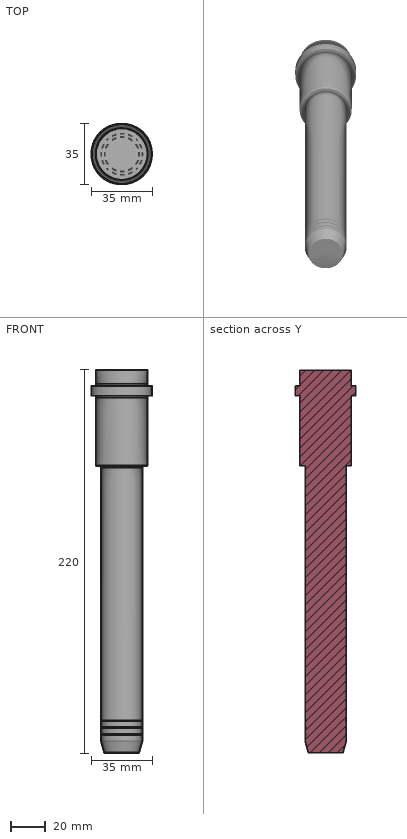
import cadquery as cq
import math

length = 220.0
sleeve_length = 55.2
head_length = 9.0
flange_thickness = 6.0

pin_radius = 24.0 / 2
sleeve_radius = 30.0 / 2
flange_radius = 35.0 / 2

edge_chamfer = 0.5
top_chamfer = 0.2

relief_width = 1.0
relief_depth = 0.1

taper_length = 7.0
taper_angle = 15.0
tip_chamfer = 0.5

groove_count = 3
groove_pitch = 4.0
groove_width = 0.7
groove_depth = 0.33
first_groove_center = 10.8

flange_top = length - head_length
flange_bottom = flange_top - flange_thickness
sleeve_bottom = length - sleeve_length


def disc(radius, bottom, height):
    return cq.Workplane("XY").workplane(offset=bottom).circle(radius).extrude(height)


def ring_groove(radius, depth, bottom, width):
    """Ring to cut around a cylinder; it also reaches outside the surface for a clean cut."""
    return disc(radius + depth, bottom, width).cut(disc(radius - depth, bottom, width))


def make_pin():
    tip_radius = pin_radius - taper_length * math.tan(math.radians(taper_angle))
    outline = [
        (0, 0),
        (tip_radius - tip_chamfer, 0),
        (tip_radius, tip_chamfer),
        (pin_radius, taper_length),
        (pin_radius, sleeve_bottom),
        (0, sleeve_bottom),
    ]
    pin = cq.Workplane("XZ").polyline(outline).close().revolve(360, (0, 0), (0, 1))
    relief_bottom = sleeve_bottom - relief_width
    pin = pin.cut(ring_groove(pin_radius, relief_depth, relief_bottom, relief_width))
    for index in range(groove_count):
        bottom = first_groove_center + index * groove_pitch - groove_width / 2
        pin = pin.cut(ring_groove(pin_radius, groove_depth, bottom, groove_width))
    return pin


def make_sleeve():
    sleeve = disc(sleeve_radius, sleeve_bottom, sleeve_length)
    sleeve = sleeve.faces("<Z").edges().chamfer(edge_chamfer)
    sleeve = sleeve.faces(">Z").edges().chamfer(top_chamfer)
    for bottom in (flange_top, flange_bottom - relief_width):
        sleeve = sleeve.cut(ring_groove(sleeve_radius, relief_depth, bottom, relief_width))
    return sleeve


def make_flange():
    flange = disc(flange_radius, flange_bottom, flange_thickness)
    return flange.faces(">Z").edges().chamfer(edge_chamfer)


result = make_pin().union(make_sleeve()).union(make_flange())